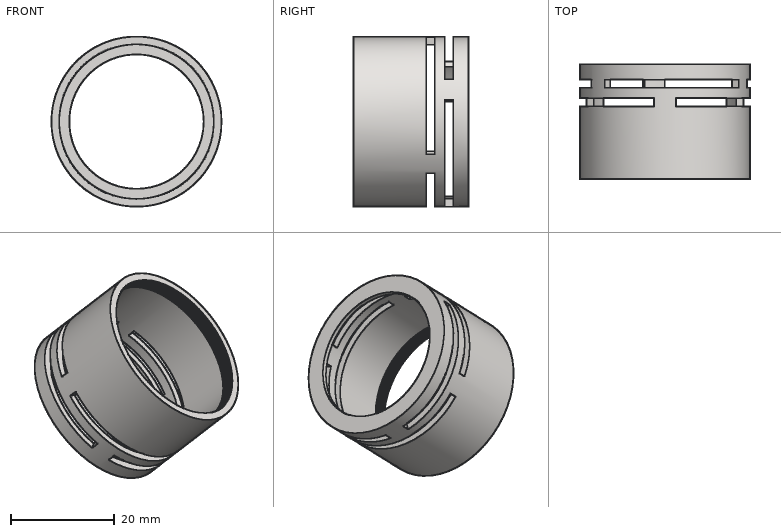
import cadquery as cq

outer_radius = 16.52
bore_radius = 15.0
lip_bore_radius = 13.02
length = 22.35
lip_thickness = 1.0
front_y = -length / 2
back_y = length / 2

slot_width = 1.6
slots_per_row = 3
slot_pitch_angle = 360 / slots_per_row
rib_angle = 15.0
rear_slot_offset = 3.0
front_slot_offset = 6.6
rear_rib_center_angle = 22.5
front_rib_center_angle = 90.0

groove_count = 5
groove_pitch = 0.5
groove_width = 0.4
groove_depth = 0.15
thread_start = 0.4

cut_margin = 0.33


def sleeve_body():
    """Revolve the wall and its inward lip around the Y axis."""
    lip_y = back_y - lip_thickness
    return (
        cq.Workplane("XY")
        .moveTo(bore_radius, front_y)
        .lineTo(outer_radius, front_y)
        .lineTo(outer_radius, back_y)
        .lineTo(lip_bore_radius, back_y)
        .lineTo(lip_bore_radius, lip_y)
        .lineTo(bore_radius, lip_y)
        .close()
        .revolve(360, (0, 0, 0), (0, 1, 0))
    )


def slot_cutter(back_offset, start_angle):
    """Ring sector with radial ends, running from one rib to the next."""
    wall_y = back_y - back_offset
    inner_radius = bore_radius - cut_margin
    cutter = (
        cq.Workplane("XY")
        .moveTo(inner_radius, wall_y - slot_width)
        .lineTo(outer_radius + cut_margin, wall_y - slot_width)
        .lineTo(outer_radius + cut_margin, wall_y)
        .lineTo(inner_radius, wall_y)
        .close()
        .revolve(slot_pitch_angle - rib_angle, (0, 0, 0), (0, -1, 0))
    )
    return cutter.rotate((0, 0, 0), (0, -1, 0), start_angle)


def cut_slot_row(body, back_offset, rib_center_angle):
    """Cut one row of evenly spaced slots through the wall."""
    for index in range(slots_per_row):
        start_angle = rib_center_angle + rib_angle / 2 + index * slot_pitch_angle
        body = body.cut(slot_cutter(back_offset, start_angle))
    return body


def cut_thread_grooves(body):
    """Cut the V grooves into the bore near the open end."""
    half_width = groove_width / 2
    for index in range(groove_count):
        center_y = front_y + thread_start + half_width + index * groove_pitch
        groove = (
            cq.Workplane("XY")
            .moveTo(bore_radius, center_y - half_width)
            .lineTo(bore_radius + groove_depth, center_y)
            .lineTo(bore_radius, center_y + half_width)
            .close()
            .revolve(360, (0, 0, 0), (0, 1, 0))
        )
        body = body.cut(groove)
    return body


result = sleeve_body()
result = cut_slot_row(result, rear_slot_offset, rear_rib_center_angle)
result = cut_slot_row(result, front_slot_offset, front_rib_center_angle)
result = cut_thread_grooves(result)